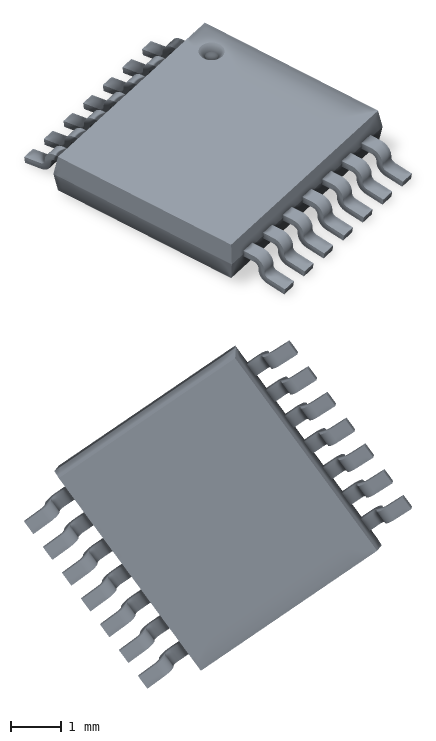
import cadquery as cq
import math

overall_length_x = 6.45
overall_height = 1.0

body_width_x = 4.41
body_length_y = 5.0
body_height = 0.9
body_taper = 0.065
half_height = body_height / 2
parting_z = overall_height - half_height

leads_per_side = 7
lead_pitch = 0.65
lead_width = 0.295
lead_thickness = 0.15
lead_top_z = 0.62
lead_embed = 0.13
shank_offset = 0.51
foot_angle = math.radians(8)
inner_bend_radius = 0.115
outer_bend_radius = inner_bend_radius + lead_thickness

dimple_x = -1.535
dimple_y = 1.845
dimple_rim_radius = 0.26
dimple_floor_radius = 0.13
dimple_depth = 0.13


def body_half(direction):
    """Tapered half body, going up (+1) or down (-1) from the parting plane."""
    return (
        cq.Workplane("XY", origin=(0, 0, parting_z))
        .rect(body_width_x, body_length_y)
        .workplane(offset=direction * half_height)
        .rect(body_width_x - 2 * body_taper, body_length_y - 2 * body_taper)
        .loft(ruled=True)
    )


def polar(center, radius, angle):
    """Point on a circle, with the angle in radians from +X toward +Z."""
    return (center[0] + radius * math.cos(angle), center[1] + radius * math.sin(angle))


def left_lead():
    """One lead on the -X side, centred on Y = 0."""
    tip_x = -overall_length_x / 2
    root_x = -body_width_x / 2 + lead_embed
    shank_x = tip_x + shank_offset

    tip_top = (tip_x, lead_thickness * math.cos(foot_angle))
    tip_bottom = (tip_x + lead_thickness * math.sin(foot_angle), 0)

    lower_x = shank_x - inner_bend_radius
    foot_tangent_x = lower_x + inner_bend_radius * math.sin(foot_angle)
    foot_tangent_z = tip_top[1] + (foot_tangent_x - tip_x) * math.tan(foot_angle)
    lower_center = (lower_x, foot_tangent_z + inner_bend_radius * math.cos(foot_angle))
    upper_center = (shank_x + outer_bend_radius, lead_top_z - outer_bend_radius)

    foot_end = foot_angle - math.pi / 2
    lower_middle = foot_end / 2
    upper_start = math.pi
    upper_middle = 3 * math.pi / 4
    upper_end = math.pi / 2

    return (
        cq.Workplane("XZ")
        .moveTo(*tip_top)
        .lineTo(*polar(lower_center, inner_bend_radius, foot_end))
        .threePointArc(
            polar(lower_center, inner_bend_radius, lower_middle),
            polar(lower_center, inner_bend_radius, 0),
        )
        .lineTo(*polar(upper_center, outer_bend_radius, upper_start))
        .threePointArc(
            polar(upper_center, outer_bend_radius, upper_middle),
            polar(upper_center, outer_bend_radius, upper_end),
        )
        .lineTo(root_x, lead_top_z)
        .lineTo(root_x, lead_top_z - lead_thickness)
        .lineTo(*polar(upper_center, inner_bend_radius, upper_end))
        .threePointArc(
            polar(upper_center, inner_bend_radius, upper_middle),
            polar(upper_center, inner_bend_radius, upper_start),
        )
        .lineTo(*polar(lower_center, outer_bend_radius, 0))
        .threePointArc(
            polar(lower_center, outer_bend_radius, lower_middle),
            polar(lower_center, outer_bend_radius, foot_end),
        )
        .lineTo(*tip_bottom)
        .close()
        .extrude(lead_width / 2, both=True)
    )


def dimple():
    """Conical cutter that narrows downward from the top face."""
    return (
        cq.Workplane("XY", origin=(dimple_x, dimple_y, overall_height))
        .circle(dimple_rim_radius)
        .workplane(offset=-dimple_depth)
        .circle(dimple_floor_radius)
        .loft(ruled=True)
    )


result = body_half(1).union(body_half(-1)).cut(dimple())

lead_left = left_lead()
lead_right = lead_left.mirror("YZ")
for index in range(leads_per_side):
    lead_y = (index - (leads_per_side - 1) / 2) * lead_pitch
    result = result.union(lead_left.translate((0, lead_y, 0)))
    result = result.union(lead_right.translate((0, lead_y, 0)))